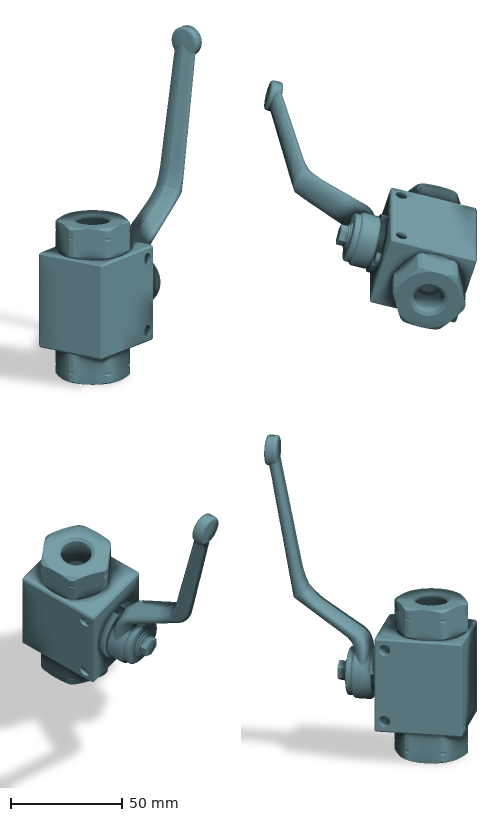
import cadquery as cq
import math


overall_height = 146.1

block_width = 35.0
block_height = 44.4
block_front = -17.5
block_back = 22.8
block_chamfer = 0.7
mount_hole_diameter = 5.3
mount_hole_y = 18.0
mount_hole_z = 17.0

valve_length = 73.0
valve_half_length = valve_length / 2
nut_across_flats = 30.0
nut_corner_diameter = 33.5
nut_face_diameter = 29.8
nut_bevel_height = 1.0
spigot_diameter = 30.8
spigot_height = 0.7
recess_diameter = 32.1
recess_depth = 0.7
groove_ring_radius = 1.0
groove_depth = 0.3
groove_from_end = 5.0

bore_diameter = 10.0
port_diameter = 14.0
port_mouth_diameter = 17.0
port_mouth_depth = 1.0
port_depth = 14.6

stop_pin_diameter = 5.3
stop_pin_radius = 12.0
stop_pin_top = 25.1
stop_disc_diameter = 26.7
stop_slot_width = 7.2
stop_slot_sweep = 90.0

disc_top = 25.7
hub_top = 34.8
washer_top = 37.4
screw_flange_top = 38.1
screw_collar_top = 38.9
screw_top = 42.2
hub_diameter = 24.4
hub_fillet = 1.6
washer_diameter = 22.0
washer_chamfer = 0.5
screw_flange_diameter = 13.0
screw_collar_diameter = 10.8
screw_head_across_corners = 9.3

arm_root_inner = (26.0, 6.3)
arm_root_outer = (34.5, 6.3)
elbow_end_inner = (26.2, 11.4)
elbow_end_outer = (34.8, 11.4)
elbow_mid_inner = (27.6, 16.7)
elbow_mid_outer = (36.1, 14.6)
elbow_start_inner = (31.5, 20.9)
elbow_start_outer = (38.3, 17.1)
bend_low_inner = (49.1, 32.5)
bend_low_outer = (52.7, 27.2)
bend_mid_inner = (55.1, 38.5)
bend_corner_outer = (62.8, 34.0)
bend_high_inner = (58.9, 47.6)
bend_high_outer = (65.0, 46.6)
tip_inner = (69.7, 102.3)
tip_outer = (75.1, 102.3)

tip_half_width = 5.4
bend_high_half_width = 6.3
bend_low_half_width = 6.9
elbow_start_half_width = 7.6
elbow_mid_half_width = 8.3
elbow_end_half_width = 9.3
arm_root_half_width = 10.4

front_edge_share = 0.82
front_edge_depth = 0.2
side_depth = 0.45
back_shoulder_share = 0.7
back_shoulder_depth = 0.85

knob_diameter = 13.9
knob_rim_front = 70.1
knob_rim_back = 75.2
knob_dome_height = 0.6
knob_edge_fillet = 1.2
knob_z = overall_height - valve_half_length - knob_diameter / 2


def disc_along_y(diameter, start, end, x=0, z=0):
    """Round disc with its axis along Y, from y = start to y = end."""
    plane = cq.Plane(origin=(x, start, z), xDir=(1, 0, 0), normal=(0, 1, 0))
    return cq.Workplane(plane).circle(diameter / 2).extrude(end - start)


def make_block():
    block = (
        cq.Workplane("XY")
        .box(block_width, block_back - block_front, block_height)
        .translate((0, (block_front + block_back) / 2, 0))
        .edges()
        .chamfer(block_chamfer)
    )
    for z in (-mount_hole_z, mount_hole_z):
        hole = (
            cq.Workplane("YZ")
            .center(mount_hole_y, z)
            .circle(mount_hole_diameter / 2)
            .extrude(block_width, both=True)
        )
        block = block.cut(hole)
    for face in (">Z", "<Z"):
        recess = block.faces(face).workplane(origin=(0, 0, 0)).circle(recess_diameter / 2)
        block = recess.cutBlind(-recess_depth)
    return block


def make_nut():
    """Upper nut: a hexagon trimmed by a bevelled, grooved round blank, on a spigot in the recess."""
    base_z = block_height / 2
    corner_radius = nut_corner_diameter / 2
    spigot_radius = spigot_diameter / 2
    blank = (
        cq.Workplane("XZ")
        .moveTo(0, base_z - recess_depth)
        .lineTo(spigot_radius, base_z - recess_depth)
        .lineTo(spigot_radius, base_z + spigot_height)
        .lineTo(corner_radius, base_z + spigot_height)
        .lineTo(corner_radius, valve_half_length - nut_bevel_height)
        .lineTo(nut_face_diameter / 2, valve_half_length)
        .lineTo(0, valve_half_length)
        .close()
        .revolve(360, (0, 0, 0), (0, 1, 0))
    )
    groove_centre_radius = corner_radius + groove_ring_radius - groove_depth
    groove = (
        cq.Workplane("XZ")
        .moveTo(groove_centre_radius, valve_half_length - groove_from_end)
        .circle(groove_ring_radius)
        .revolve(360, (0, 0, 0), (0, 1, 0))
    )
    across_corners = nut_across_flats / math.cos(math.radians(30))
    hexagon = (
        cq.Workplane("XY")
        .polygon(6, across_corners)
        .extrude(valve_half_length)
        .rotate((0, 0, 0), (0, 0, 1), 30)
    )
    return hexagon.intersect(blank).cut(groove)


def make_port():
    """Cutter for the upper threaded port, with its bevelled mouth."""
    return (
        cq.Workplane("XZ")
        .moveTo(0, valve_half_length)
        .lineTo(port_mouth_diameter / 2, valve_half_length)
        .lineTo(port_diameter / 2, valve_half_length - port_mouth_depth)
        .lineTo(port_diameter / 2, valve_half_length - port_depth)
        .lineTo(0, valve_half_length - port_depth)
        .close()
        .revolve(360, (0, 0, 0), (0, 1, 0))
    )


def make_valve_body():
    nut = make_nut()
    port = make_port()
    bore = cq.Workplane("XY").circle(bore_diameter / 2).extrude(valve_length, both=True)
    stop_pin_root = block_back - block_chamfer
    stop_pin = disc_along_y(stop_pin_diameter, stop_pin_root, stop_pin_top, z=-stop_pin_radius)
    body = make_block().union(nut).union(nut.mirror("XY")).union(stop_pin)
    return body.cut(bore).cut(port).cut(port.mirror("XY"))


def make_stop_disc():
    """Disc with a round notch at +Z and a curved slot from -X round to -Z for the stop pin."""
    disc = disc_along_y(stop_disc_diameter, block_back, disc_top)
    notch = disc_along_y(stop_pin_diameter, block_back, disc_top, z=stop_pin_radius)
    slot_end = disc_along_y(stop_slot_width, block_back, disc_top, x=-stop_pin_radius)
    inner_radius = stop_pin_radius - stop_slot_width / 2
    slot_bend = (
        cq.Workplane("XY")
        .moveTo(-stop_disc_diameter, block_back)
        .lineTo(-inner_radius, block_back)
        .lineTo(-inner_radius, disc_top)
        .lineTo(-stop_disc_diameter, disc_top)
        .close()
        .revolve(stop_slot_sweep, (0, 0, 0), (0, 1, 0))
        .rotate((0, 0, 0), (0, 1, 0), -stop_slot_sweep)
    )
    disc = disc.cut(notch).cut(slot_bend)
    for angle in (0, stop_slot_sweep):
        disc = disc.cut(slot_end.rotate((0, 0, 0), (0, 1, 0), -angle))
    return disc


def make_screw():
    """Fixing screw: two-step flange and a hexagonal head with corners towards +Z and -Z."""
    flange = disc_along_y(screw_flange_diameter, washer_top, screw_flange_top)
    collar = disc_along_y(screw_collar_diameter, screw_flange_top, screw_collar_top)
    head_plane = cq.Plane(origin=(0, screw_collar_top, 0), xDir=(0, 0, 1), normal=(0, 1, 0))
    head_height = screw_top - screw_collar_top
    head = cq.Workplane(head_plane).polygon(6, screw_head_across_corners).extrude(head_height)
    return flange.union(collar).union(head)


def between(start, end, share):
    """Point at the given share of the way from start to end."""
    return tuple(a + (b - a) * share for a, b in zip(start, end))


def arm_section(inner, outer, half_width):
    """Closed cross-section: a shallow roof on the inner edge, rounded sides and back."""
    thickness = math.dist(inner, outer)
    across = (0, (outer[0] - inner[0]) / thickness, (outer[1] - inner[1]) / thickness)
    normal = cq.Vector(1, 0, 0).cross(cq.Vector(*across))
    plane = cq.Plane(origin=(0, *inner), xDir=(1, 0, 0), normal=normal.toTuple())
    flank = [
        (half_width, side_depth * thickness),
        (back_shoulder_share * half_width, back_shoulder_depth * thickness),
    ]
    mirrored_flank = [(-x, y) for x, y in reversed(flank)]
    front_edge_x = front_edge_share * half_width
    front_edge_y = front_edge_depth * thickness
    back = [*flank, (0, thickness), *mirrored_flank, (-front_edge_x, front_edge_y)]
    section = cq.Workplane(plane).lineTo(front_edge_x, front_edge_y).spline(back, includeCurrent=True).close()
    return section.val()


def bend_section(share):
    """Arm section in the bend: the inner edge follows an arc, the outer edge turns a sharp corner."""
    inner_arc = cq.Edge.makeThreePointArc(
        cq.Vector(0, *bend_high_inner), cq.Vector(0, *bend_mid_inner), cq.Vector(0, *bend_low_inner)
    )
    inner_point = inner_arc.positionAt(share)
    if share < 0.5:
        outer_point = between(bend_high_outer, bend_corner_outer, 2 * share)
    else:
        outer_point = between(bend_corner_outer, bend_low_outer, 2 * share - 1)
    half_width = bend_high_half_width + (bend_low_half_width - bend_high_half_width) * share
    return arm_section((inner_point.y, inner_point.z), outer_point, half_width)


def make_arm():
    """Arm lofted in stretches: two straight ones, the two halves of the bend, and the elbow."""
    tip = arm_section(tip_inner, tip_outer, tip_half_width)
    bend_high, bend_upper, bend_corner, bend_lower, bend_low = [
        bend_section(share) for share in (0, 0.25, 0.5, 0.75, 1)
    ]
    elbow_start = arm_section(elbow_start_inner, elbow_start_outer, elbow_start_half_width)
    elbow_mid = arm_section(elbow_mid_inner, elbow_mid_outer, elbow_mid_half_width)
    elbow_end = arm_section(elbow_end_inner, elbow_end_outer, elbow_end_half_width)
    root = arm_section(arm_root_inner, arm_root_outer, arm_root_half_width)
    stretches = [
        [tip, bend_high],
        [bend_high, bend_upper, bend_corner],
        [bend_corner, bend_lower, bend_low],
        [bend_low, elbow_start],
        [elbow_start, elbow_mid, elbow_end, root],
    ]
    arm = cq.Workplane("XY")
    for sections in stretches:
        arm = arm.union(cq.Workplane(cq.Solid.makeLoft(sections)))
    return arm


def make_knob():
    """Flat round knob with both faces slightly domed, its axis along Y."""
    radius = knob_diameter / 2
    dome_radius = (radius ** 2 + knob_dome_height ** 2) / (2 * knob_dome_height)
    return (
        cq.Workplane("XY", origin=(0, 0, knob_z))
        .moveTo(0, knob_rim_front - knob_dome_height)
        .radiusArc((radius, knob_rim_front), -dome_radius)
        .lineTo(radius, knob_rim_back)
        .radiusArc((0, knob_rim_back + knob_dome_height), -dome_radius)
        .close()
        .revolve(360, (0, 0, 0), (0, 1, 0))
        .edges("%CIRCLE")
        .fillet(knob_edge_fillet)
    )


def make_lever():
    hub = disc_along_y(hub_diameter, disc_top, hub_top).edges().fillet(hub_fillet)
    washer = disc_along_y(washer_diameter, hub_top, washer_top).faces(">Y").chamfer(washer_chamfer)
    lever = make_stop_disc()
    for feature in (hub, washer, make_screw(), make_arm(), make_knob()):
        lever = lever.union(feature)
    return lever


valve_body = make_valve_body()
lever = make_lever()

result = cq.Compound.makeCompound([valve_body.val(), lever.val()])